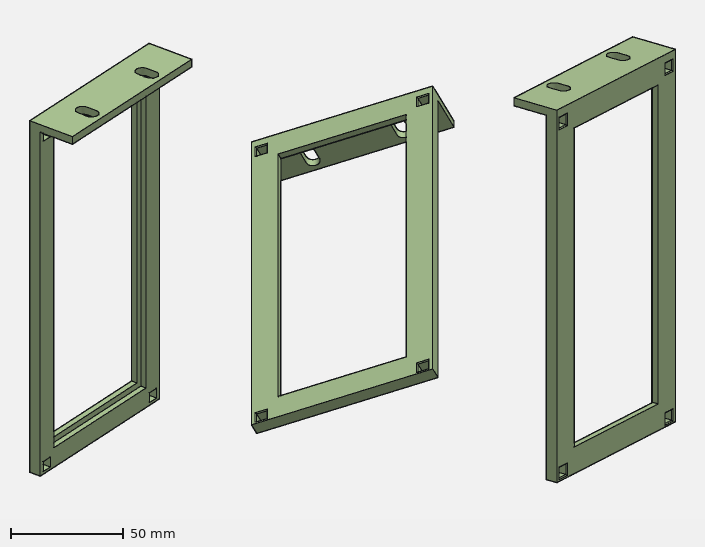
import cadquery as cq

depth = 24.0
width = 88.0
height = 180.0
frame_thickness = 6.0
flange_thickness = 4.0

border = 13.0

lip_thickness = 3.0
recess_border = 10.0

hole_size = 5.0
hole_chamfer = 0.5
hole_side_inset = 4.9
hole_top_inset = 7.0
hole_bottom_inset = 4.0

slot_length = 11.5
slot_width = 6.5
slot_center_x = 15.5


def make_bracket():
    """L-shaped body with its outer face at X = 0, its base at Z = 0 and centred on Y."""
    frame = cq.Workplane("XY").box(frame_thickness, width, height, centered=(False, True, False))
    flange = (
        cq.Workplane("XY", origin=(0, 0, height - flange_thickness))
        .box(depth, width, flange_thickness, centered=(False, True, False))
    )
    return frame.union(flange)


def make_opening(start_x, end_x, margin):
    """Rectangular cutter from start_x to end_x, with an equal margin to the frame's edges."""
    return (
        cq.Workplane("XY", origin=(start_x, 0, margin))
        .box(end_x - start_x, width - 2 * margin, height - 2 * margin, centered=(False, True, False))
    )


def make_corner_hole(y, z):
    """Square cutter running through the frame along X, with a flared mouth at X = 0."""
    mouth_size = hole_size + 2 * hole_chamfer
    mouth = (
        cq.Workplane("YZ", origin=(0, y, z))
        .rect(mouth_size, mouth_size)
        .workplane(offset=hole_chamfer)
        .rect(hole_size, hole_size)
        .loft(ruled=True)
    )
    shaft = cq.Workplane("YZ", origin=(0, y, z)).rect(hole_size, hole_size).extrude(frame_thickness)
    return mouth.union(shaft)


def make_slot(y):
    return (
        cq.Workplane("XY", origin=(slot_center_x, y, height - flange_thickness))
        .slot2D(slot_length, slot_width)
        .extrude(flange_thickness)
    )


window = make_opening(0, frame_thickness, border)
recess = make_opening(lip_thickness, frame_thickness, recess_border)
result = make_bracket().cut(window).cut(recess)

for side in (-1, 1):
    hole_y = side * (width / 2 - hole_side_inset)
    for hole_z in (hole_bottom_inset, height - hole_top_inset):
        result = result.cut(make_corner_hole(hole_y, hole_z))
    result = result.cut(make_slot(side * width / 4))